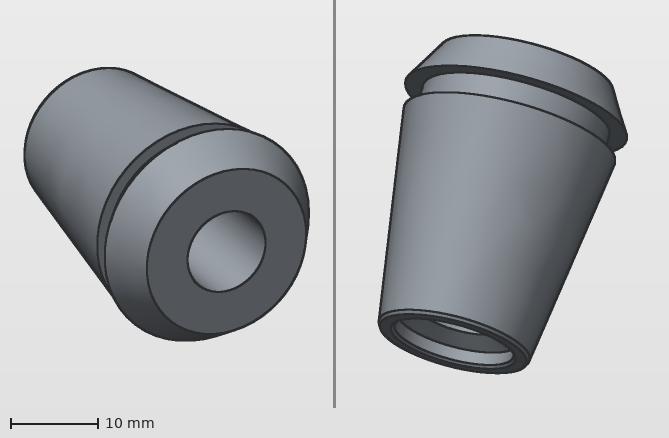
import cadquery as cq
import math

length = 34.0
nose_chamfer_length = 0.45
taper_end = 25.95
collar_start = 29.0

collar_diameter = 26.2
groove_radius = 11.05
taper_end_radius = 12.5
nose_radius = 8.67
taper_angle = 8.0
collar_angle = 30.0

bore_radius = 5.0
counterbore_radius = 7.05
counterbore_chamfer = 0.35
counterbore_depth = 1.87
bore_cone_length = 1.35

collar_radius = collar_diameter / 2
taper_length = taper_end - nose_chamfer_length
taper_start_radius = taper_end_radius - taper_length * math.tan(math.radians(taper_angle))
collar_length = length - collar_start
collar_end_radius = collar_radius - collar_length * math.tan(math.radians(collar_angle))

half_section = [
    (0, nose_radius),
    (nose_chamfer_length, taper_start_radius),
    (taper_end, taper_end_radius),
    (taper_end, groove_radius),
    (collar_start, groove_radius),
    (collar_start, collar_radius),
    (length, collar_end_radius),
    (length, bore_radius),
    (counterbore_depth + bore_cone_length, bore_radius),
    (counterbore_depth, counterbore_radius),
    (counterbore_chamfer, counterbore_radius),
    (0, counterbore_radius + counterbore_chamfer),
]

result = cq.Workplane("XY").polyline(half_section).close().revolve(360, (0, 0, 0), (1, 0, 0))